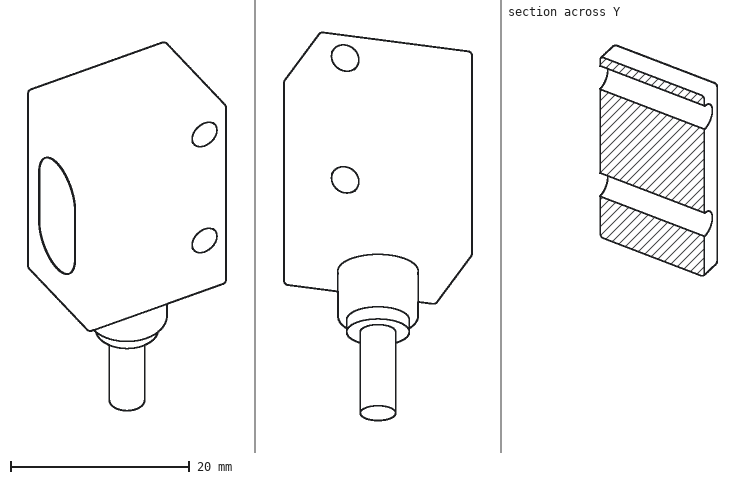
import cadquery as cq

body_width = 13.9
body_depth = 18.0
body_height = 25.4
edge_radius = 0.5

lens_width = 8.0
lens_height = 14.9
lens_thickness = 0.1
lens_drop = 13.3

hole_diameter = 3.2
hole_inset = 3.0
hole_spacing = 15.0

sleeve_diameter = 9.0
sleeve_length = 6.0
collar_diameter = 7.05
collar_length = 1.5
cable_diameter = 4.0
cable_length = 10.0


def make_housing():
    """Box with all edges rounded, centred in X and Y with its bottom at Z = 0."""
    box = cq.Workplane("XY").box(body_width, body_depth, body_height, centered=(True, True, False))
    return box.edges().fillet(edge_radius)


def make_lens():
    """Upright slot-shaped pad standing proud of the front face."""
    front_y = -body_depth / 2 - lens_thickness
    lens_front = cq.Workplane("XZ", origin=(0, front_y, body_height - lens_drop))
    return lens_front.slot2D(lens_height, lens_width, 90).extrude(-lens_thickness - edge_radius)


def make_mounting_holes():
    """Two round cutters, one above the other near the back face."""
    hole_y = body_depth / 2 - hole_inset
    upper_z = body_height - hole_inset
    return (
        cq.Workplane("YZ")
        .pushPoints([(hole_y, upper_z), (hole_y, upper_z - hole_spacing)])
        .circle(hole_diameter / 2)
        .extrude(body_width, both=True)
    )


def make_cylinder_down(top_z, diameter, length):
    """Vertical cylinder on the part axis, hanging down from top_z."""
    return cq.Workplane("XY", origin=(0, 0, top_z)).circle(diameter / 2).extrude(-length)


def make_cable_outlet():
    """Sleeve with a rounded lower rim, then a collar, then the cable."""
    sleeve = make_cylinder_down(0, sleeve_diameter, sleeve_length)
    sleeve = sleeve.faces("<Z").edges().fillet(edge_radius)
    collar = make_cylinder_down(-sleeve_length, collar_diameter, collar_length)
    cable = make_cylinder_down(-sleeve_length - collar_length, cable_diameter, cable_length)
    return sleeve.union(collar).union(cable)


result = make_housing().union(make_lens()).cut(make_mounting_holes()).union(make_cable_outlet())